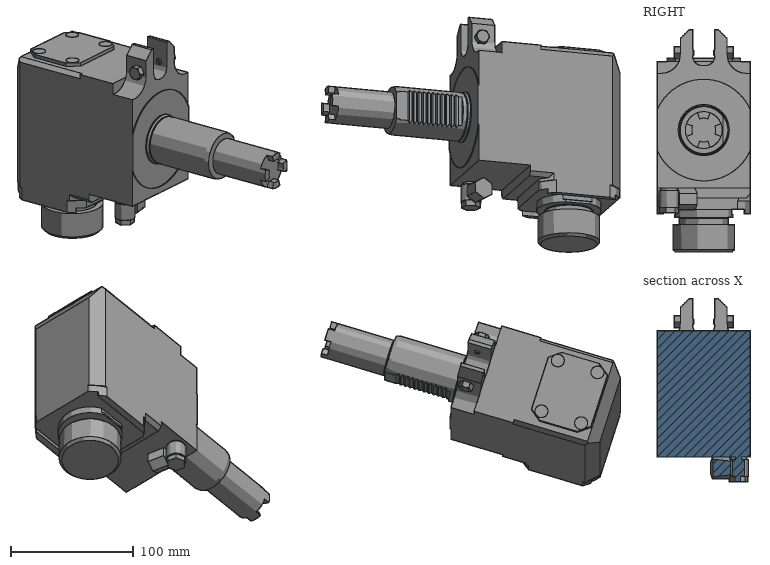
import cadquery as cq
import math


LENGTH = 124.5
WIDTH = 76.0
HALF_WIDTH = WIDTH / 2
TOP_Z = 55.8
REAR_BOTTOM_Z = -47.3
CORNER_X = 9.7
CORNER_Y = 9.5
BROW_X = 8.5
BROW_Z = 15.0
TOP_EDGE_END_X = -53.4
TOP_EDGE_Y = 3.0
TOP_EDGE_Z = 3.6
STEP_END_X = -44.5
STEP_BOTTOM_Z = -55.5
STEP_CHAMFER = 3.5

FLANGE_SIZE_X = 69.5
SPINDLE_X = FLANGE_SIZE_X / 2 - LENGTH
FLANGE_TOP_Z = -58.0
FLANGE_BOTTOM_Z = -64.8
FLANGE_CORNER_RADIUS = 44.5
LEG_BOTTOM_Z = -68.5
LEG_LENGTH = 57.7
LEG_INNER_Y = 32.7
COVER_RADIUS = 26.2
COVER_FLAT_Y = 23.0
DISC_FLAT_Y = 24.0
DISC_TOP_Z = -69.1
DISC_BOTTOM_Z = -71.3
RELIEF_RADIUS = 19.5
RELIEF_BOTTOM_Z = -72.3
NECK_RADIUS = 20.1
NUT_RADIUS = 25.2
NUT_TOP_Z = -77.1
NUT_BOTTOM_Z = -99.7
NUT_CHAMFER = 2.2

PLATE_X = 50.7
PLATE_Y = 60.5
PLATE_THICKNESS = 3.0
PLATE_CORNER_X = 9.2
PLATE_CORNER_Y = 7.3
SCREW_RADIUS = 5.3
SCREW_SPACING_X = 34.0
SCREW_SPACING_Y = 45.0
SCREW_RISE = 0.2

CRADLE_LENGTH = 20.0
CRADLE_FLOOR_Z = 46.3
LUG_TOP_Z = 82.0
LUG_INNER_Y = 9.0
LUG_OUTER_Y = 19.2
LUG_CHAMFER = 7.3
OUTER_HOLLOW_RADIUS = 15.5
INNER_HOLLOW_RADIUS = 7.8
INNER_HOLLOW_TOP_Z = 60.5
BOLT_X = -8.0
BOLT_Z = 63.0
BOLT_CORNER_DIAMETER = 11.6
BOLT_HEAD_HEIGHT = 5.0
BOLT_HEAD_CHAMFER = 0.7
BOLT_TIP_RADIUS = 2.5
BOLT_TIP_END_RADIUS = 1.7
BOLT_TIP_LENGTH = 1.2

FACE_DISC_RADIUS = 41.5
FACE_DISC_THICKNESS = 0.7
COLLAR_RADIUS = 20.9
COLLAR_TAPER_X = 1.7
COLLAR_END_X = 3.2
UNDERCUT_RADIUS = 19.5
UNDERCUT_END_X = 4.1
SHANK_RADIUS = 20.0
SHANK_END_X = 63.5
SHANK_END_CHAMFER_X = 3.2
SHANK_END_CHAMFER_R = 0.7
GROOVE_RADIUS = 12.1
GROOVE_WIDTH = 1.2
DRIVE_RADIUS = 15.0
DRIVE_END_X = 118.1
RACK_START_X = 7.5
RACK_FLAT_Y = 15.8
RACK_FIRST_X = 12.0
RACK_SPAN = 40.0
RACK_GROOVES = 11
RACK_PITCH = RACK_SPAN / (RACK_GROOVES - 1)
RACK_DEPTH = 1.7
CLAW_COUNT = 4
CLAW_LENGTH = 5.3
CLAW_BORE_RADIUS = 9.7
CLAW_GAP_ANGLE = 50.0

NOZZLE_X = -14.8
NOZZLE_Y = -28.4
NOZZLE_RADIUS = 8.2
NOZZLE_NECK_RADIUS = 7.0
NOZZLE_TOP_Z = -49.2
NOZZLE_HEX_TOP_Z = -63.0
NOZZLE_BOTTOM_Z = -67.7
NOZZLE_HEX_DIAMETER = 15.5
NOZZLE_ANGLE = 11.0
FITTING_Z = -56.3
FITTING_DIAMETER = 17.7
FITTING_START = 7.3
FITTING_END = 21.8

HEX_TURN = 30.0
OVERLAP = 2.5


def block(x0, x1, y0, y1, z0, z1):
    return cq.Workplane("XY").box(x1 - x0, y1 - y0, z1 - z0, centered=False).translate((x0, y0, z0))


def post(x, y, radius, z0, z1):
    return cq.Workplane("XY").workplane(offset=z0).center(x, y).circle(radius).extrude(z1 - z0)


def both_sides(solid):
    return solid.union(solid.mirror("XZ"))


def housing():
    rear = block(-LENGTH, 0, -HALF_WIDTH, HALF_WIDTH, REAR_BOTTOM_Z, TOP_Z)

    step = block(-LENGTH, STEP_END_X, -HALF_WIDTH, HALF_WIDTH, STEP_BOTTOM_Z, REAR_BOTTOM_Z)
    step = step.edges("|X and <Z").chamfer(STEP_CHAMFER)

    front = block(-LENGTH, FLANGE_SIZE_X - LENGTH, -HALF_WIDTH, HALF_WIDTH, FLANGE_TOP_Z, REAR_BOTTOM_Z)
    front = front.edges("|Z and >X").chamfer(CORNER_X, CORNER_Y)

    body = rear.union(step).union(front)
    return body.cut(front_corner_cuts()).cut(brow_cut()).cut(top_edge_cuts())


def front_corner_cuts():
    corner = (
        cq.Workplane("XY", origin=(0, 0, FLANGE_TOP_Z))
        .moveTo(-LENGTH, HALF_WIDTH)
        .lineTo(CORNER_X - LENGTH, HALF_WIDTH)
        .lineTo(-LENGTH, HALF_WIDTH - CORNER_Y)
        .close()
        .extrude(TOP_Z - FLANGE_TOP_Z)
    )
    return both_sides(corner)


def brow_cut():
    return (
        cq.Workplane("XZ")
        .moveTo(-LENGTH, TOP_Z)
        .lineTo(BROW_X - LENGTH, TOP_Z)
        .lineTo(-LENGTH, TOP_Z - BROW_Z)
        .close()
        .extrude(HALF_WIDTH, both=True)
    )


def top_edge_cuts():
    edge = (
        cq.Workplane("YZ", origin=(-LENGTH, 0, 0))
        .moveTo(HALF_WIDTH, TOP_Z)
        .lineTo(HALF_WIDTH - TOP_EDGE_Y, TOP_Z)
        .lineTo(HALF_WIDTH, TOP_Z - TOP_EDGE_Z)
        .close()
        .extrude(TOP_EDGE_END_X + LENGTH)
    )
    return both_sides(edge)


def flange():
    right_x = FLANGE_SIZE_X - LENGTH
    ring = block(-LENGTH, right_x, -HALF_WIDTH, HALF_WIDTH, FLANGE_BOTTOM_Z, FLANGE_TOP_Z)
    leg = block(
        SPINDLE_X - LEG_LENGTH / 2, SPINDLE_X + LEG_LENGTH / 2,
        LEG_INNER_Y, HALF_WIDTH, LEG_BOTTOM_Z, FLANGE_TOP_Z,
    )
    rounding = post(SPINDLE_X, 0, FLANGE_CORNER_RADIUS, LEG_BOTTOM_Z, FLANGE_TOP_Z)
    return ring.union(both_sides(leg)).intersect(rounding)


def flattened_post(flat_y, z0, z1):
    """Length of the bearing cover with a flat on its -Y and +Y sides."""
    flats = block(SPINDLE_X - COVER_RADIUS, SPINDLE_X + COVER_RADIUS, -flat_y, flat_y, z0, z1)
    return post(SPINDLE_X, 0, COVER_RADIUS, z0, z1).intersect(flats)


def spindle():
    cover = flattened_post(COVER_FLAT_Y, DISC_TOP_Z, FLANGE_BOTTOM_Z + OVERLAP)
    disc = flattened_post(DISC_FLAT_Y, DISC_BOTTOM_Z, DISC_TOP_Z)
    relief = post(SPINDLE_X, 0, RELIEF_RADIUS, RELIEF_BOTTOM_Z, DISC_BOTTOM_Z)
    neck = post(SPINDLE_X, 0, NECK_RADIUS, NUT_TOP_Z, RELIEF_BOTTOM_Z)
    nut = post(SPINDLE_X, 0, NUT_RADIUS, NUT_BOTTOM_Z, NUT_TOP_Z).faces("<Z").chamfer(NUT_CHAMFER)
    return cover.union(disc).union(relief).union(neck).union(nut)


def cover_plate():
    plate = (
        cq.Workplane("XY", origin=(SPINDLE_X, 0, TOP_Z))
        .moveTo(-PLATE_X / 2, PLATE_Y / 2 - PLATE_CORNER_Y)
        .lineTo(PLATE_CORNER_X - PLATE_X / 2, PLATE_Y / 2)
        .lineTo(0, PLATE_Y / 2)
        .lineTo(0, 0)
        .lineTo(-PLATE_X / 2, 0)
        .close()
        .extrude(PLATE_THICKNESS)
    )
    plate = both_sides(plate)
    plate = plate.union(plate.mirror("YZ", (SPINDLE_X, 0, 0)))
    screws = (
        cq.Workplane("XY", origin=(SPINDLE_X, 0, TOP_Z))
        .rect(SCREW_SPACING_X, SCREW_SPACING_Y, forConstruction=True)
        .vertices()
        .circle(SCREW_RADIUS)
        .extrude(PLATE_THICKNESS + SCREW_RISE)
    )
    return plate.union(screws)


def cradle():
    """Cross-section with two lugs, hollowed inside and outside, run along X."""
    diagonal = 1 - math.sqrt(0.5)
    rib_y = LUG_INNER_Y - INNER_HOLLOW_RADIUS
    rib_z = INNER_HOLLOW_TOP_Z - INNER_HOLLOW_RADIUS
    outer_end_y = LUG_OUTER_Y + OUTER_HOLLOW_RADIUS
    outer_top_z = CRADLE_FLOOR_Z + OUTER_HOLLOW_RADIUS
    half = (
        cq.Workplane("YZ", origin=(-CRADLE_LENGTH, 0, 0))
        .moveTo(0, CRADLE_FLOOR_Z - OVERLAP)
        .lineTo(0, rib_z)
        .lineTo(rib_y, rib_z)
        .threePointArc(
            (LUG_INNER_Y - diagonal * INNER_HOLLOW_RADIUS, rib_z + diagonal * INNER_HOLLOW_RADIUS),
            (LUG_INNER_Y, INNER_HOLLOW_TOP_Z),
        )
        .lineTo(LUG_INNER_Y, LUG_TOP_Z)
        .lineTo(LUG_OUTER_Y - LUG_CHAMFER, LUG_TOP_Z)
        .lineTo(LUG_OUTER_Y, LUG_TOP_Z - LUG_CHAMFER)
        .lineTo(LUG_OUTER_Y, outer_top_z)
        .threePointArc(
            (LUG_OUTER_Y + diagonal * OUTER_HOLLOW_RADIUS, CRADLE_FLOOR_Z + diagonal * OUTER_HOLLOW_RADIUS),
            (outer_end_y, CRADLE_FLOOR_Z),
        )
        .lineTo(outer_end_y, CRADLE_FLOOR_Z - OVERLAP)
        .close()
        .extrude(CRADLE_LENGTH)
    )
    return both_sides(half)


def lug_bolts():
    base = cq.Workplane("XZ", origin=(BOLT_X, LUG_OUTER_Y - OVERLAP, BOLT_Z))
    head_depth = OVERLAP + BOLT_HEAD_HEIGHT
    rounding = base.circle(BOLT_CORNER_DIAMETER / 2).extrude(-head_depth).faces(">Y").chamfer(BOLT_HEAD_CHAMFER)
    head = base.polygon(6, BOLT_CORNER_DIAMETER).extrude(-head_depth).intersect(rounding)
    tip = (
        cq.Workplane("XZ", origin=(BOLT_X, LUG_INNER_Y, BOLT_Z))
        .circle(BOLT_TIP_RADIUS)
        .workplane(offset=BOLT_TIP_LENGTH)
        .circle(BOLT_TIP_END_RADIUS)
        .loft()
    )
    return both_sides(head.union(tip))


def shank():
    drive_start_x = SHANK_END_X + GROOVE_WIDTH
    turned = (
        cq.Workplane("XY")
        .moveTo(-OVERLAP, 0)
        .lineTo(-OVERLAP, COLLAR_RADIUS)
        .lineTo(COLLAR_TAPER_X, COLLAR_RADIUS)
        .lineTo(COLLAR_END_X, UNDERCUT_RADIUS)
        .lineTo(UNDERCUT_END_X, UNDERCUT_RADIUS)
        .lineTo(UNDERCUT_END_X, SHANK_RADIUS)
        .lineTo(SHANK_END_X - SHANK_END_CHAMFER_X, SHANK_RADIUS)
        .lineTo(SHANK_END_X, SHANK_RADIUS - SHANK_END_CHAMFER_R)
        .lineTo(SHANK_END_X, GROOVE_RADIUS)
        .lineTo(drive_start_x, GROOVE_RADIUS)
        .lineTo(drive_start_x, DRIVE_RADIUS)
        .lineTo(DRIVE_END_X, DRIVE_RADIUS)
        .lineTo(DRIVE_END_X, 0)
        .close()
        .revolve(360, (0, 0, 0), (1, 0, 0))
    )
    face_disc = cq.Workplane("YZ").circle(FACE_DISC_RADIUS).extrude(FACE_DISC_THICKNESS)
    face_disc = face_disc.intersect(
        block(0, FACE_DISC_THICKNESS, -HALF_WIDTH, HALF_WIDTH, -FACE_DISC_RADIUS, FACE_DISC_RADIUS)
    )
    return turned.cut(rack_cut()).cut(claw_cuts()).union(face_disc)


def rack_cut():
    """Flat along the +Y side of the shank with a row of V grooves across it."""
    cut = block(RACK_START_X, SHANK_END_X, RACK_FLAT_Y, SHANK_RADIUS, -SHANK_RADIUS, SHANK_RADIUS)
    for i in range(RACK_GROOVES):
        x = RACK_FIRST_X + i * RACK_PITCH
        groove = (
            cq.Workplane("XY")
            .moveTo(x - RACK_DEPTH, RACK_FLAT_Y)
            .lineTo(x + RACK_DEPTH, RACK_FLAT_Y)
            .lineTo(x, RACK_FLAT_Y - RACK_DEPTH)
            .close()
            .extrude(SHANK_RADIUS, both=True)
        )
        cut = cut.union(groove)
    return cut


def claw_cuts():
    """Bore and radial gaps that leave claws with radial sides on the end of the drive."""
    start_x = DRIVE_END_X - CLAW_LENGTH
    cut = cq.Workplane("YZ", origin=(start_x, 0, 0)).circle(CLAW_BORE_RADIUS).extrude(CLAW_LENGTH)
    reach = 2 * DRIVE_RADIUS
    pitch_angle = 360 / CLAW_COUNT
    spread = reach * math.tan(math.radians(CLAW_GAP_ANGLE / 2))
    gap = (
        cq.Workplane("YZ", origin=(start_x, 0, 0))
        .lineTo(reach, spread)
        .lineTo(reach, -spread)
        .close()
        .extrude(CLAW_LENGTH)
    )
    for i in range(CLAW_COUNT):
        cut = cut.union(gap.rotate((0, 0, 0), (1, 0, 0), (i + 0.5) * pitch_angle))
    return cut


def nozzle():
    neck = post(NOZZLE_X, NOZZLE_Y, NOZZLE_NECK_RADIUS, NOZZLE_TOP_Z, REAR_BOTTOM_Z + OVERLAP)
    barrel = post(NOZZLE_X, NOZZLE_Y, NOZZLE_RADIUS, NOZZLE_HEX_TOP_Z, NOZZLE_TOP_Z)
    hexagon = (
        cq.Workplane("XY", origin=(0, 0, NOZZLE_BOTTOM_Z))
        .polygon(6, NOZZLE_HEX_DIAMETER)
        .extrude(NOZZLE_HEX_TOP_Z - NOZZLE_BOTTOM_Z)
        .rotate((0, 0, 0), (0, 0, 1), NOZZLE_ANGLE + HEX_TURN)
        .translate((NOZZLE_X, NOZZLE_Y, 0))
    )
    fitting = (
        cq.Workplane("XZ", origin=(0, FITTING_START, 0))
        .polygon(6, FITTING_DIAMETER)
        .extrude(FITTING_START - FITTING_END)
        .rotate((0, 0, 0), (0, 1, 0), HEX_TURN)
        .rotate((0, 0, 0), (0, 0, 1), NOZZLE_ANGLE)
        .translate((NOZZLE_X, NOZZLE_Y, FITTING_Z))
    )
    return neck.union(barrel).union(hexagon).union(fitting)


cradle_space = block(-CRADLE_LENGTH, 0, -HALF_WIDTH, HALF_WIDTH, CRADLE_FLOOR_Z, TOP_Z)

result = housing().cut(cradle_space)
for feature in (flange(), spindle(), cover_plate(), cradle(), lug_bolts(), shank(), nozzle()):
    result = result.union(feature)